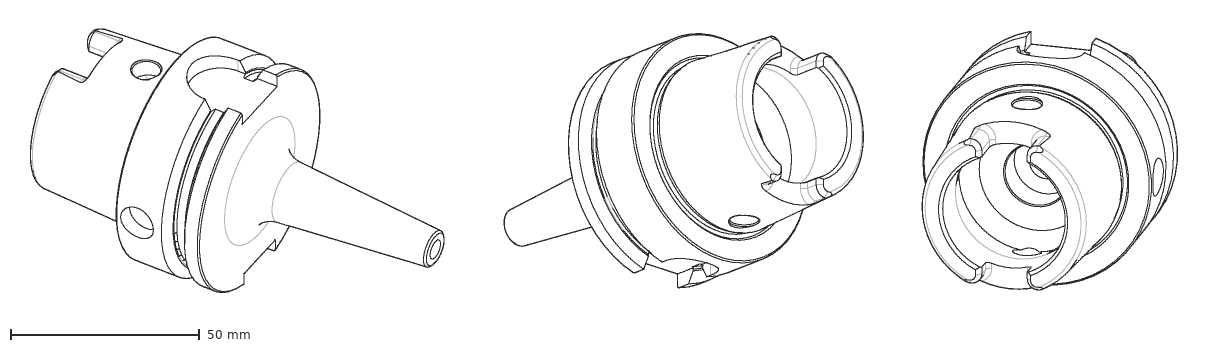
import cadquery as cq
import math

TOTAL_LENGTH = 111.9

SHANK_LARGE_RADIUS = 24.1
SHANK_TAPER_END = 29.8
SHANK_TAPER_SLOPE = 0.05
SHANK_END_FILLET = 1.1
RELIEF_START = 31.0
RELIEF_RADIUS = 23.6

FLANGE_FACE = 32.0
FLANGE_DIAMETER = 63.0
FLANGE_RADIUS = FLANGE_DIAMETER / 2
FLANGE_END = 57.7
FLANGE_CHAMFER = 0.5
FACE_RECESS_RADIUS = 24.8
FACE_RECESS_DEPTH = 0.6
GROOVE_CENTRE = 49.8
GROOVE_FLOOR_WIDTH = 3.6
GROOVE_FLOOR_RADIUS = 27.4
GROOVE_CORNER_RADIUS = 0.6
GROOVE_SHOULDER_RADIUS = 28.4
GROOVE_FLANK_ANGLE = math.radians(30)

NECK_FILLET = 9.6
TIP_RADIUS = 5.1
TIP_CHAMFER = 0.6
NOSE_HALF_ANGLE = math.radians(4.3)

MAIN_BORE_RADIUS = 16.9
MAIN_BORE_CHAMFER = 0.9
UNDERCUT_START = 13.0
UNDERCUT_RADIUS = 19.6
UNDERCUT_END = 25.6
BORE_DEPTH = 31.3
BORE_FLOOR_RADIUS = 15.7
TUBE_BORE_RADIUS = 8.6
TUBE_BORE_DEPTH = 40.3
TUBE_BORE_CHAMFER = 0.3
COOLANT_CONE_RADIUS = 4.4
COOLANT_RADIUS = 2.7

NOTCH_HALF_WIDTH = 6.3
NOTCH_FLAT_HEIGHT = 20.5
NOTCH_FLARE_RADIUS = 2.9
NOTCH_EDGE = 1.3
TOP_NOTCH_DEPTH = 10.0
BOTTOM_NOTCH_DEPTH = 6.0

KEYWAY_START = 36.7
KEYWAY_FLOOR = 26.4
TOP_KEYWAY_WIDTH = 18.0
BOTTOM_KEYWAY_WIDTH = 16.0

CLAMP_HOLE_X = 22.7
CLAMP_HOLE_RADIUS = 3.8
CLAMP_SINK_RADIUS = 4.1
CHIP_HOLE_X = 38.7
CHIP_HOLE_RADIUS = 5.0
CHIP_HOLE_DEPTH = 4.6

CLEARANCE = 5.6


def revolve_about_x(profile):
    return profile.close().revolve(360, (0, 0, 0), (1, 0, 0))


def shank_radius(x):
    return SHANK_LARGE_RADIUS - SHANK_TAPER_SLOPE * (SHANK_TAPER_END - x)


def make_body():
    """Solid of revolution: taper shank, grooved flange and slender nose."""
    floor_half = GROOVE_FLOOR_WIDTH / 2
    flat_half = floor_half - GROOVE_CORNER_RADIUS
    corner_top = GROOVE_FLOOR_RADIUS + GROOVE_CORNER_RADIUS
    flank_run = (FLANGE_RADIUS - GROOVE_SHOULDER_RADIUS) * math.tan(GROOVE_FLANK_ANGLE)
    mouth_half = floor_half + flank_run

    arc_x = FLANGE_END + NECK_FILLET
    cone_x = arc_x - NECK_FILLET * math.sin(NOSE_HALF_ANGLE)
    cone_radius = TIP_RADIUS + (TOTAL_LENGTH - cone_x) * math.tan(NOSE_HALF_ANGLE)
    arc_radius = cone_radius + NECK_FILLET * math.cos(NOSE_HALF_ANGLE)
    mid_angle = (math.pi / 2 - NOSE_HALF_ANGLE) / 2
    arc_middle = (arc_x - NECK_FILLET * math.cos(mid_angle), arc_radius - NECK_FILLET * math.sin(mid_angle))
    tip_edge_x = TOTAL_LENGTH - TIP_CHAMFER
    tip_edge_radius = TIP_RADIUS + TIP_CHAMFER * math.tan(NOSE_HALF_ANGLE)

    rim_centre_radius = shank_radius(SHANK_END_FILLET) - SHANK_END_FILLET
    rim_diagonal = SHANK_END_FILLET * math.sqrt(0.5)
    rim_middle = (SHANK_END_FILLET - rim_diagonal, rim_centre_radius + rim_diagonal)

    profile = (
        cq.Workplane("XY")
        .moveTo(0, 0)
        .lineTo(0, rim_centre_radius)
        .threePointArc(rim_middle, (SHANK_END_FILLET, shank_radius(SHANK_END_FILLET)))
        .lineTo(SHANK_TAPER_END, SHANK_LARGE_RADIUS)
        .lineTo(RELIEF_START, RELIEF_RADIUS)
        .lineTo(FLANGE_FACE + FACE_RECESS_DEPTH, RELIEF_RADIUS)
        .lineTo(FLANGE_FACE + FACE_RECESS_DEPTH, FACE_RECESS_RADIUS)
        .lineTo(FLANGE_FACE, FACE_RECESS_RADIUS + FACE_RECESS_DEPTH)
        .lineTo(FLANGE_FACE, FLANGE_RADIUS - FLANGE_CHAMFER)
        .lineTo(FLANGE_FACE + FLANGE_CHAMFER, FLANGE_RADIUS)
        .lineTo(GROOVE_CENTRE - mouth_half, FLANGE_RADIUS)
        .lineTo(GROOVE_CENTRE - floor_half, GROOVE_SHOULDER_RADIUS)
        .lineTo(GROOVE_CENTRE - floor_half, corner_top)
        .radiusArc((GROOVE_CENTRE - flat_half, GROOVE_FLOOR_RADIUS), -GROOVE_CORNER_RADIUS)
        .lineTo(GROOVE_CENTRE + flat_half, GROOVE_FLOOR_RADIUS)
        .radiusArc((GROOVE_CENTRE + floor_half, corner_top), -GROOVE_CORNER_RADIUS)
        .lineTo(GROOVE_CENTRE + floor_half, GROOVE_SHOULDER_RADIUS)
        .lineTo(GROOVE_CENTRE + mouth_half, FLANGE_RADIUS)
        .lineTo(FLANGE_END - FLANGE_CHAMFER, FLANGE_RADIUS)
        .lineTo(FLANGE_END, FLANGE_RADIUS - FLANGE_CHAMFER)
        .lineTo(FLANGE_END, arc_radius)
        .threePointArc(arc_middle, (cone_x, cone_radius))
        .lineTo(tip_edge_x, tip_edge_radius)
        .lineTo(TOTAL_LENGTH, TIP_RADIUS - TIP_CHAMFER)
        .lineTo(TOTAL_LENGTH, 0)
    )
    return revolve_about_x(profile)


def make_bores():
    """Stepped cavity: undercut shank bore, coolant-tube bore and the through coolant hole."""
    cone_depth = COOLANT_CONE_RADIUS - COOLANT_RADIUS
    profile = (
        cq.Workplane("XY")
        .moveTo(0, 0)
        .lineTo(0, MAIN_BORE_RADIUS + MAIN_BORE_CHAMFER)
        .lineTo(MAIN_BORE_CHAMFER, MAIN_BORE_RADIUS)
        .lineTo(UNDERCUT_START, MAIN_BORE_RADIUS)
        .lineTo(UNDERCUT_END, UNDERCUT_RADIUS)
        .lineTo(BORE_DEPTH, BORE_FLOOR_RADIUS)
        .lineTo(BORE_DEPTH, TUBE_BORE_RADIUS + TUBE_BORE_CHAMFER)
        .lineTo(BORE_DEPTH + TUBE_BORE_CHAMFER, TUBE_BORE_RADIUS)
        .lineTo(TUBE_BORE_DEPTH, TUBE_BORE_RADIUS)
        .lineTo(TUBE_BORE_DEPTH, COOLANT_CONE_RADIUS)
        .lineTo(TUBE_BORE_DEPTH + cone_depth, COOLANT_RADIUS)
        .lineTo(TOTAL_LENGTH, COOLANT_RADIUS)
        .lineTo(TOTAL_LENGTH, 0)
    )
    return revolve_about_x(profile)


def notch_section(x, spread):
    """Notch cross-section at x, grown outwards by spread; its walls flare into flats near the rim."""
    half = NOTCH_HALF_WIDTH + spread
    flare = NOTCH_FLARE_RADIUS - spread
    flat = NOTCH_FLAT_HEIGHT - spread
    flare_centre = (half + flare, flat - flare)
    diagonal = flare * math.sqrt(0.5)
    arc_y = flare_centre[0] - diagonal
    arc_z = flare_centre[1] + diagonal
    outer = FLANGE_RADIUS
    return (
        cq.Workplane("YZ", origin=(x, 0, 0))
        .moveTo(-half, 0)
        .lineTo(-half, flare_centre[1])
        .threePointArc((-arc_y, arc_z), (-flare_centre[0], flat))
        .lineTo(-outer, flat)
        .lineTo(-outer, outer)
        .lineTo(outer, outer)
        .lineTo(outer, flat)
        .lineTo(flare_centre[0], flat)
        .threePointArc((arc_y, arc_z), (half, flare_centre[1]))
        .lineTo(half, 0)
        .close()
    )


def make_notch(depth):
    """Drive notch on the +Z side with a rounded floor corner and a chamfered mouth."""
    notch = notch_section(0, 0).extrude(depth)
    floor_edges = notch.faces(">X").edges("not(<Z or >Z or <Y or >Y)")
    notch = floor_edges.fillet(NOTCH_EDGE)
    front = notch_section(0, NOTCH_EDGE).wires().val()
    back = notch_section(NOTCH_EDGE, 0).wires().val()
    return notch.union(cq.Workplane(cq.Solid.makeLoft([front, back], True)))


def make_keyway(width):
    """Keyway on the +Z side, open towards the nose and with a full-round closed end."""
    end_radius = width / 2
    arc_x = KEYWAY_START + end_radius
    return (
        cq.Workplane("XY", origin=(0, 0, KEYWAY_FLOOR))
        .moveTo(FLANGE_END, -end_radius)
        .lineTo(FLANGE_END, end_radius)
        .lineTo(arc_x, end_radius)
        .threePointArc((KEYWAY_START, 0), (arc_x, -end_radius))
        .close()
        .extrude(FLANGE_RADIUS - KEYWAY_FLOOR)
    )


def turned_over(shape):
    return shape.rotate((0, 0, 0), (1, 0, 0), 180)


def make_clamp_hole():
    """Radial hole on the +Z side through the shank wall, countersunk at the surface."""
    rim = shank_radius(CLAMP_HOLE_X)
    sink = CLAMP_SINK_RADIUS - CLAMP_HOLE_RADIUS
    return (
        cq.Workplane("XZ")
        .moveTo(0, 0)
        .lineTo(CLAMP_HOLE_RADIUS, 0)
        .lineTo(CLAMP_HOLE_RADIUS, rim - 2 * sink)
        .lineTo(CLAMP_SINK_RADIUS, rim - sink)
        .lineTo(CLAMP_SINK_RADIUS, rim + CLEARANCE)
        .lineTo(0, rim + CLEARANCE)
        .close()
        .revolve(360, (0, 0, 0), (0, 1, 0))
        .translate((CLAMP_HOLE_X, 0, 0))
    )


def make_chip_hole():
    """Blind flat-bottomed hole in the -Y side of the flange."""
    return (
        cq.Workplane("XZ", origin=(CHIP_HOLE_X, CHIP_HOLE_DEPTH - FLANGE_RADIUS, 0))
        .circle(CHIP_HOLE_RADIUS)
        .extrude(CHIP_HOLE_DEPTH)
    )


result = make_body().cut(make_bores())
result = result.cut(make_notch(TOP_NOTCH_DEPTH)).cut(turned_over(make_notch(BOTTOM_NOTCH_DEPTH)))
result = result.cut(make_keyway(TOP_KEYWAY_WIDTH)).cut(turned_over(make_keyway(BOTTOM_KEYWAY_WIDTH)))
result = result.cut(make_clamp_hole()).cut(turned_over(make_clamp_hole()))
result = result.cut(make_chip_hole())